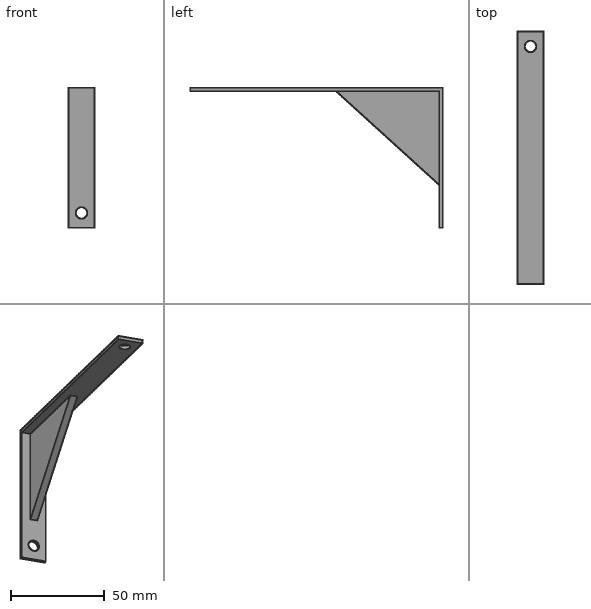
import cadquery as cq

WIDTH = 14.0
LONG_ARM = 135.0
SHORT_ARM = 75.0
THICKNESS = 2.0

HOLE_DIAMETER = 6.0
HOLE_END_DISTANCE = 8.0

RIB_LENGTH = 55.0
RIB_HEIGHT = 50.0
RIB_THICKNESS = 4.0


def make_arms():
    """L-shaped strip with its outer corner on the X axis."""
    long_arm = cq.Workplane("XY").box(WIDTH, LONG_ARM, THICKNESS, centered=(True, False, False))
    long_arm = long_arm.translate((0, 0, -THICKNESS))
    short_arm = cq.Workplane("XY").box(WIDTH, THICKNESS, SHORT_ARM, centered=(True, False, False))
    short_arm = short_arm.translate((0, 0, -SHORT_ARM))
    return long_arm.union(short_arm)


def make_rib():
    """Triangular rib, centred across the width, between the inner arm faces."""
    corner = (THICKNESS, -THICKNESS)
    on_long_arm = (THICKNESS + RIB_LENGTH, -THICKNESS)
    on_short_arm = (THICKNESS, -THICKNESS - RIB_HEIGHT)
    outline = cq.Workplane("YZ").polyline([corner, on_long_arm, on_short_arm]).close()
    return outline.extrude(RIB_THICKNESS / 2, both=True)


def make_hole_cutters():
    """Cylinders through the free ends of the long and the short arm."""
    radius = HOLE_DIAMETER / 2
    long_arm_hole = cq.Workplane("XY").center(0, LONG_ARM - HOLE_END_DISTANCE)
    long_arm_hole = long_arm_hole.circle(radius).extrude(-THICKNESS)
    short_arm_hole = cq.Workplane("XZ").center(0, HOLE_END_DISTANCE - SHORT_ARM)
    short_arm_hole = short_arm_hole.circle(radius).extrude(-THICKNESS)
    return long_arm_hole.union(short_arm_hole)


result = make_arms().union(make_rib()).cut(make_hole_cutters())